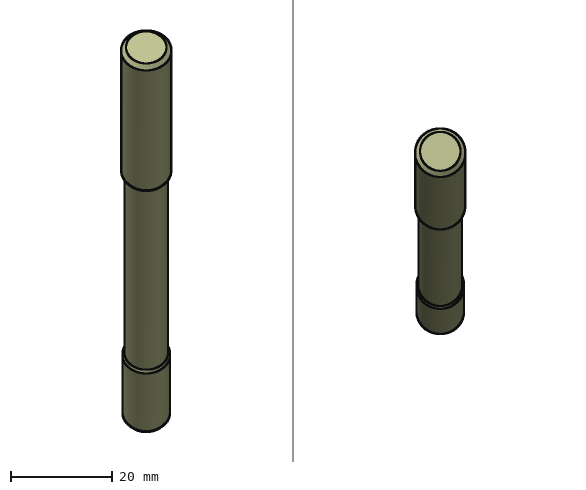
import math

import cadquery as cq

total_length = 120.0
upper_land_diameter = 10.0
lower_land_diameter = 9.5
shank_diameter = 8.7

lower_land_top = 20.0
upper_land_length = 40.0

upper_chamfer = 1.0
lead_in_length = 1.2

taper_angle = 30.0

upper_land_radius = upper_land_diameter / 2
lower_land_radius = lower_land_diameter / 2
shank_radius = shank_diameter / 2
taper_slope = math.tan(math.radians(taper_angle))
lead_in_radius = lower_land_radius - lead_in_length * taper_slope
lower_shoulder_length = (lower_land_radius - shank_radius) / taper_slope
upper_shoulder_length = (upper_land_radius - shank_radius) / taper_slope
upper_land_bottom = total_length - upper_land_length


def half_profile():
    """Closed outline of the pin in the XZ plane, from the axis outward."""
    return (
        cq.Workplane("XZ")
        .moveTo(0, 0)
        .lineTo(lead_in_radius, 0)
        .lineTo(lower_land_radius, lead_in_length)
        .lineTo(lower_land_radius, lower_land_top)
        .lineTo(shank_radius, lower_land_top + lower_shoulder_length)
        .lineTo(shank_radius, upper_land_bottom - upper_shoulder_length)
        .lineTo(upper_land_radius, upper_land_bottom)
        .lineTo(upper_land_radius, total_length - upper_chamfer)
        .lineTo(upper_land_radius - upper_chamfer, total_length)
        .lineTo(0, total_length)
        .close()
    )


result = half_profile().revolve(360, (0, 0), (0, 1))